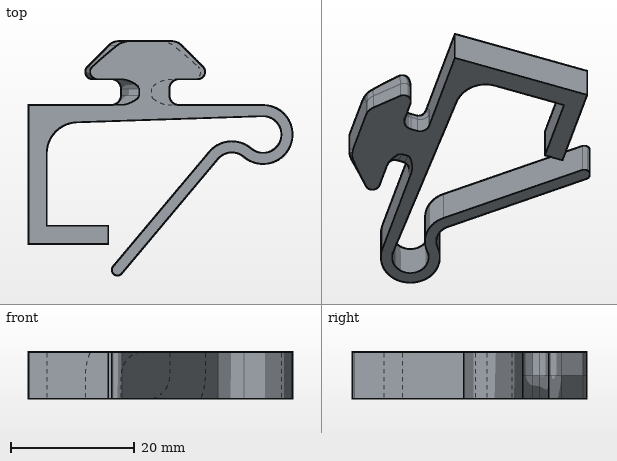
import cadquery as cq
import math

length = 42.9
depth = 38.1
height = 7.65
mid_height = height / 2

wall = 3.0
hook_depth = 22.6
lip_length = 13.0
hook_corner_radius = 5.02

strip = 1.85
outer_radius = 4.8
inner_radius = outer_radius - strip
bend_radius = outer_radius - strip / 2
bend_spacing = 5.05
leg_angle = math.radians(50)

stud_x = 18.95
head_top = 10.4
head_bottom = 4.15
head_half_width = 9.75
neck_half_width = 3.95
neck_radius = 1.55
tip_radius = 1.2
crown_radius = 2.3
head_slope = math.radians(45)
stud_root = -wall / 2


def polar(center, radius, angle):
    return (center[0] + radius * math.cos(angle), center[1] + radius * math.sin(angle))


def make_hook(loop_center):
    """C-shaped hook whose arm tapers underneath towards the spring loop."""
    return (
        cq.Workplane("XY")
        .polyline([
            (0, 0),
            (loop_center[0], 0),
            (loop_center[0], -strip),
            (wall, -wall),
            (wall, wall - hook_depth),
            (lip_length, wall - hook_depth),
            (lip_length, -hook_depth),
            (0, -hook_depth),
        ])
        .close()
        .extrude(height)
        .edges(cq.selectors.NearestToPointSelector((wall, -wall, mid_height)))
        .fillet(hook_corner_radius)
    )


def make_spring(loop_center):
    """Constant-width strip: loop, reverse bend, straight leg with a round end."""
    center_distance = 2 * bend_radius
    bend_drop = math.sqrt(center_distance**2 - bend_spacing**2)
    bend_center = (loop_center[0] - bend_spacing, loop_center[1] - bend_drop)

    to_bend = math.atan2(-bend_drop, -bend_spacing)
    to_loop = to_bend + math.pi
    loop_middle = (math.pi / 2 + to_bend) / 2
    leg_normal = leg_angle + math.pi / 2
    bend_middle = (to_loop + leg_normal) / 2

    leg_start_y = polar(bend_center, bend_radius, leg_normal)[1]
    leg_end_y = head_top - depth + strip / 2
    leg_length = (leg_start_y - leg_end_y) / math.sin(leg_angle)

    def along_leg(point, distance):
        return polar(point, distance, leg_angle + math.pi)

    leg_end = along_leg(polar(bend_center, bend_radius, leg_normal), leg_length)
    return (
        cq.Workplane("XY")
        .moveTo(*polar(loop_center, outer_radius, math.pi / 2))
        .threePointArc(
            polar(loop_center, outer_radius, loop_middle),
            polar(loop_center, outer_radius, to_bend),
        )
        .threePointArc(
            polar(bend_center, inner_radius, bend_middle),
            polar(bend_center, inner_radius, leg_normal),
        )
        .lineTo(*along_leg(polar(bend_center, inner_radius, leg_normal), leg_length))
        .threePointArc(
            along_leg(leg_end, strip / 2),
            along_leg(polar(bend_center, outer_radius, leg_normal), leg_length),
        )
        .lineTo(*polar(bend_center, outer_radius, leg_normal))
        .threePointArc(
            polar(bend_center, outer_radius, bend_middle),
            polar(bend_center, outer_radius, to_loop),
        )
        .threePointArc(
            polar(loop_center, inner_radius, loop_middle),
            polar(loop_center, inner_radius, math.pi / 2),
        )
        .close()
        .extrude(height)
    )


def half_stud_profile(side):
    """Outline of one stud half about X = 0, at Z = 0; side is +1 or -1."""
    tip_center = (head_half_width - tip_radius, head_bottom + tip_radius)
    slope_normal = math.pi / 2 - head_slope
    slope_start = polar(tip_center, tip_radius, slope_normal)
    crown_center_y = head_top - crown_radius
    slope_rise = crown_center_y + crown_radius * math.sin(slope_normal) - slope_start[1]
    slope_end_x = slope_start[0] - slope_rise / math.tan(head_slope)
    crown_center = (slope_end_x - crown_radius * math.cos(slope_normal), crown_center_y)
    fillet_x = neck_half_width + neck_radius
    lower_center = (fillet_x, neck_radius)
    upper_center = (fillet_x, head_bottom - neck_radius)
    crown_middle = (slope_normal + math.pi / 2) / 2
    tip_middle = (slope_normal - math.pi / 2) / 2

    def at(point):
        return (side * point[0], point[1])

    return (
        cq.Workplane("XY")
        .moveTo(0, stud_root)
        .lineTo(*at((fillet_x, stud_root)))
        .lineTo(*at((fillet_x, 0)))
        .threePointArc(
            at(polar(lower_center, neck_radius, 5 * math.pi / 4)),
            at((neck_half_width, lower_center[1])),
        )
        .lineTo(*at((neck_half_width, upper_center[1])))
        .threePointArc(
            at(polar(upper_center, neck_radius, 3 * math.pi / 4)),
            at((fillet_x, head_bottom)),
        )
        .lineTo(*at((tip_center[0], head_bottom)))
        .threePointArc(at(polar(tip_center, tip_radius, tip_middle)), at(slope_start))
        .lineTo(*at(polar(crown_center, crown_radius, slope_normal)))
        .threePointArc(
            at(polar(crown_center, crown_radius, crown_middle)),
            at((crown_center[0], head_top)),
        )
        .lineTo(0, head_top)
        .close()
    )


def make_stud():
    """T-shaped stud; two diagonally opposite quarters are round about its axis so it can turn."""
    stud = None
    for side in (-1, 1):
        half = half_stud_profile(side).extrude(height)
        turned = (
            half_stud_profile(side)
            .revolve(360, (0, 0, 0), (0, 1, 0))
            .translate((0, 0, mid_height))
        )
        plain_base = 0 if side < 0 else mid_height
        plain_zone = (
            cq.Workplane("XY")
            .workplane(offset=plain_base)
            .rect(length, depth)
            .extrude(mid_height)
        )
        half = half.intersect(turned.union(plain_zone))
        stud = half if stud is None else stud.union(half)
    return stud.translate((stud_x, 0, 0))


loop_center = (length - outer_radius, -outer_radius)
result = make_hook(loop_center).union(make_spring(loop_center)).union(make_stud())